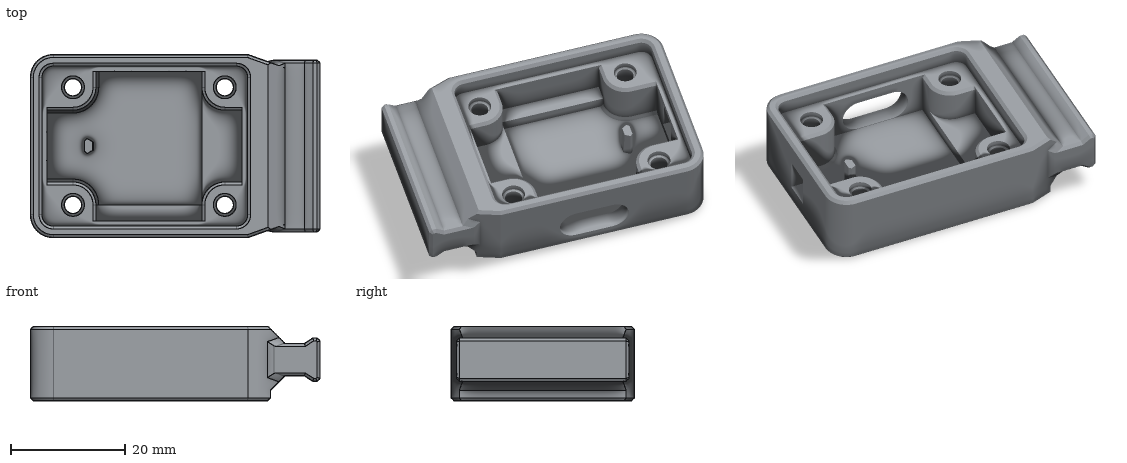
import cadquery as cq

EDGE = 0.5
OVERALL_LENGTH = 50.65
CASE_WIDTH = 32.0
CASE_HEIGHT = 13.0
CASE_LENGTH = 42.0
CORNER_RADIUS = 4.0
TAPER_START = 38.05
TAPER_SLOPE = 0.36

TAIL_WIDTH = 30.1
TAIL_MID_Z = 7.2
TAIL_THICKNESS = 5.65
LIP_THICKNESS = 7.6
LIP_LENGTH = 1.25
LIP_RISE_LENGTH = 1.45
TOP_SLOPE_START = 41.55

JOINT_START = 42.6
JOINT_END_SLOPE = 4.5
JOINT_THICKNESS = 4.8
JOINT_SIDE_SLOPE = 1.7
JOINT_FALL = 0.25
JOINT_DEPTH = 1.25

RIM = 1.5
RECESS_END = 38.5
RECESS_FLOOR = 10.0

FLOOR = 2.0
SHELF_TOP = 4.0
CAVITY_START = 2.9
CAVITY_END = 37.0
CAVITY_WIDTH = 26.15
SHELF_EDGE_Y = -10.35

POST_RADIUS = 4.0
POST_X = (7.45, 34.0)
POST_Y = 10.3
SCREW_DIAMETER = 3.0
COUNTERBORE_DIAMETER = 4.0
COUNTERBORE_DEPTH = 1.0

WINDOW_WIDTH = 4.95
WINDOW_BOTTOM = 3.25
WINDOW_TOP = 8.8
SLOT_CENTER_X = 20.95
SLOT_LENGTH = 12.5
SLOT_HEIGHT = 5.95
SLOT_BOTTOM = 2.1

PIN_TOP = 6.95
PIN_BACK_X = 9.45
PIN_WIDEST_X = 9.95
PIN_FRONT_X = 11.05
PIN_FRONT_LEAN = 0.2
PIN_BACK_HALF = 0.9
PIN_WIDEST_HALF = 1.3
PIN_FRONT_HALF = 0.65

HALF_WIDTH = CASE_WIDTH / 2
TAIL_HALF = TAIL_WIDTH / 2
TAIL_TOP = TAIL_MID_Z + TAIL_THICKNESS / 2
TAIL_BOTTOM = TAIL_MID_Z - TAIL_THICKNESS / 2
TOP_SLOPE_END = TOP_SLOPE_START + CASE_HEIGHT - TAIL_TOP
LIP_START = OVERALL_LENGTH - LIP_LENGTH


def block(x0, x1, y0, y1, z0, z1):
    """Box given by its limits along each axis."""
    return cq.Workplane("XY").box(x1 - x0, y1 - y0, z1 - z0, centered=False).translate((x0, y0, z0))


def side_prism(points, half_width):
    """Prism with an XZ outline, centred on Y = 0."""
    return cq.Workplane("XZ").polyline(points).close().extrude(half_width, both=True)


def make_case():
    """Tapered case blank, cut off by the sloping end surfaces above and below the tail."""
    taper_half = HALF_WIDTH - TAPER_SLOPE * (TOP_SLOPE_END - TAPER_START)
    plan = [
        (0, -HALF_WIDTH),
        (TAPER_START, -HALF_WIDTH),
        (TOP_SLOPE_END, -taper_half),
        (TOP_SLOPE_END, taper_half),
        (TAPER_START, HALF_WIDTH),
        (0, HALF_WIDTH),
    ]
    blank = cq.Workplane("XY").polyline(plan).close().extrude(CASE_HEIGHT)
    blank = blank.edges("|Z and <X").fillet(CORNER_RADIUS)
    blank = blank.faces("<Z or >Z").chamfer(EDGE)
    return blank.intersect(side_prism(end_outline(), HALF_WIDTH))


def end_outline():
    """XZ outline of the case, narrowing at 45 degrees to the tail."""
    return [
        (0, 0),
        (CASE_LENGTH - EDGE, 0),
        (CASE_LENGTH, EDGE),
        (CASE_LENGTH, TAIL_BOTTOM - (TOP_SLOPE_END - CASE_LENGTH)),
        (TOP_SLOPE_END, TAIL_BOTTOM),
        (TOP_SLOPE_END, TAIL_TOP),
        (TOP_SLOPE_START, CASE_HEIGHT),
        (0, CASE_HEIGHT),
    ]


def make_tail():
    """Flat tail ending in a lip flared both ways, chamfered along its side outlines."""
    upper = [
        (JOINT_START, TAIL_THICKNESS / 2),
        (LIP_START - LIP_RISE_LENGTH, TAIL_THICKNESS / 2),
        (LIP_START, LIP_THICKNESS / 2),
        (OVERALL_LENGTH - EDGE, LIP_THICKNESS / 2),
        (OVERALL_LENGTH, LIP_THICKNESS / 2 - EDGE),
    ]
    outline = [(x, TAIL_MID_Z + z) for x, z in upper]
    outline += [(x, TAIL_MID_Z - z) for x, z in reversed(upper)]
    tail = side_prism(outline, TAIL_HALF)
    return tail.faces("<Y or >Y").edges("not <X").chamfer(EDGE)


def joint_section(depth):
    """Corners of the joint outline at a depth below the tail side."""
    start = JOINT_START - JOINT_END_SLOPE * depth
    half_at_joint = JOINT_THICKNESS / 2 + JOINT_SIDE_SLOPE * depth
    half_start = half_at_joint + JOINT_FALL * (JOINT_START - start)
    half_end = half_at_joint - JOINT_FALL * (TOP_SLOPE_END - JOINT_START)
    return [
        (start, TAIL_MID_Z - half_start),
        (TOP_SLOPE_END, TAIL_MID_Z - half_end),
        (TOP_SLOPE_END, TAIL_MID_Z + half_end),
        (start, TAIL_MID_Z + half_start),
    ]


def make_joint():
    """Flared transition from the tapered case wall out to the front tail side."""
    flare = (
        cq.Workplane("XZ", origin=(0, -TAIL_HALF, 0))
        .polyline(joint_section(0)).close()
        .workplane(offset=-JOINT_DEPTH)
        .polyline(joint_section(JOINT_DEPTH)).close()
        .loft(ruled=True)
    )
    return flare.intersect(side_prism(end_outline(), HALF_WIDTH))


def make_recess():
    """Lid recess with a chamfered mouth."""
    wall = RIM + EDGE
    recess = block(wall, RECESS_END - EDGE, wall - HALF_WIDTH, HALF_WIDTH - wall, RECESS_FLOOR, CASE_HEIGHT)
    recess = recess.edges("|Z").fillet(CORNER_RADIUS - wall)
    mouth = block(RIM, RECESS_END, RIM - HALF_WIDTH, HALF_WIDTH - RIM, CASE_HEIGHT - EDGE, CASE_HEIGHT + EDGE)
    mouth = mouth.edges("|Z").fillet(CORNER_RADIUS - RIM).faces("<Z").chamfer(EDGE)
    return recess.union(mouth)


def corner_post(side_x, side_y, radius, bottom, top):
    """Chamfered post filling one cavity corner, its inner corner rounded about the screw axis."""
    post = block(-radius, CASE_WIDTH, -radius, CASE_WIDTH, bottom, top)
    post = post.edges("|Z and <X and <Y").fillet(radius).faces(">Z").chamfer(EDGE)
    if side_x < 0:
        post = post.mirror("YZ")
    if side_y < 0:
        post = post.mirror("XZ")
    return post.translate((POST_X[0] if side_x < 0 else POST_X[1], side_y * POST_Y, 0))


def make_cavity():
    """Cavity below the recess, less its corner posts, raised floor areas and pin."""
    half = CAVITY_WIDTH / 2
    cavity = block(CAVITY_START, CAVITY_END, -half, half, FLOOR, RECESS_FLOOR)
    for side_y in (-1, 1):
        for side_x in (-1, 1):
            cavity = cavity.cut(corner_post(side_x, side_y, POST_RADIUS, FLOOR, RECESS_FLOOR))
        cavity = cavity.cut(corner_post(-1, side_y, POST_RADIUS + EDGE, FLOOR - EDGE, FLOOR + EDGE))
    end_shelf = block(POST_X[1] - POST_RADIUS, CAVITY_END, -half, half, FLOOR, SHELF_TOP)
    side_shelf = block(CAVITY_START, CAVITY_END, -half, SHELF_EDGE_Y, FLOOR, SHELF_TOP)
    return cavity.cut(end_shelf).cut(side_shelf).cut(make_pin())


def make_pin():
    """Six-sided locating pin standing on the floor, its front face leaning back."""
    side = [
        (PIN_BACK_X, PIN_BACK_HALF),
        (PIN_WIDEST_X, PIN_WIDEST_HALF),
        (PIN_FRONT_X, PIN_FRONT_HALF),
    ]
    outline = side + [(x, -y) for x, y in reversed(side)]
    pin = cq.Workplane("XY", origin=(0, 0, FLOOR)).polyline(outline).close().extrude(PIN_TOP - FLOOR)
    leaning_profile = [
        (PIN_BACK_X, FLOOR),
        (PIN_FRONT_X, FLOOR),
        (PIN_FRONT_X - PIN_FRONT_LEAN, PIN_TOP),
        (PIN_BACK_X, PIN_TOP),
    ]
    return pin.intersect(side_prism(leaning_profile, PIN_WIDEST_HALF))


def make_screw_holes():
    """Through holes with counterbores sunk from the recess floor."""
    centers = [(x, y) for x in POST_X for y in (-POST_Y, POST_Y)]
    holes = cq.Workplane("XY").pushPoints(centers).circle(SCREW_DIAMETER / 2).extrude(RECESS_FLOOR)
    bores = (
        cq.Workplane("XY", origin=(0, 0, RECESS_FLOOR - COUNTERBORE_DEPTH))
        .pushPoints(centers).circle(COUNTERBORE_DIAMETER / 2).extrude(COUNTERBORE_DEPTH)
    )
    return holes.union(bores)


def make_wall_openings():
    """Rectangular window in the -X wall and round-ended slot in the +Y wall."""
    window = block(0, CAVITY_START, -WINDOW_WIDTH / 2, WINDOW_WIDTH / 2, WINDOW_BOTTOM, WINDOW_TOP)
    slot = (
        cq.Workplane("XZ", origin=(SLOT_CENTER_X, HALF_WIDTH, SLOT_BOTTOM + SLOT_HEIGHT / 2))
        .slot2D(SLOT_LENGTH, SLOT_HEIGHT).extrude(HALF_WIDTH - CAVITY_WIDTH / 2)
    )
    return window.union(slot)


front_joint = make_joint()
back_joint = front_joint.mirror("XZ")
body = make_case().union(make_tail()).union(front_joint).union(back_joint)
result = (
    body.cut(make_recess())
    .cut(make_cavity())
    .cut(make_screw_holes())
    .cut(make_wall_openings())
)